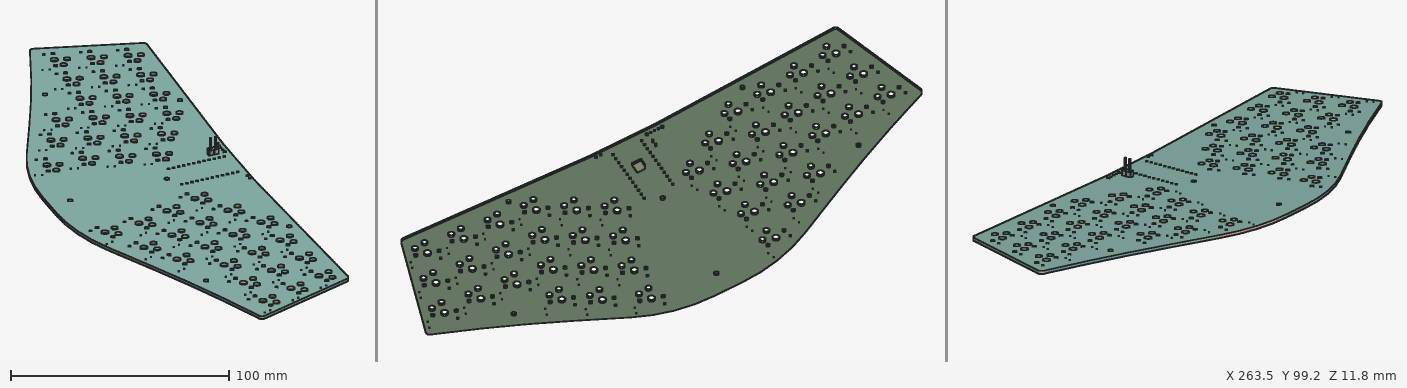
import cadquery as cq
import math



def toward(start, angle_deg, distance):
    """Point reached from start by moving a distance in a direction given in the XY plane."""
    angle = math.radians(angle_deg)
    return (start[0] + distance * math.cos(angle), start[1] + distance * math.sin(angle))


def row_of_points(first, count, step_x, step_y):
    """Evenly stepped points, starting at first."""
    return [(first[0] + i * step_x, first[1] + i * step_y) for i in range(count)]



overall_height = 11.78
board_thickness = 1.6
pin_rise = 8.54
pin_tail = 3.0

board_top = overall_height / 2 - pin_rise
board_bottom = board_top - board_thickness
led_height = overall_height - pin_rise - board_thickness


board_length = 263.46
board_width = 99.25
corner_radius = 2.0
front_edge = -board_width / 2
rear_corner_edge = board_width / 2

end_lean = 17.8
rear_slope = 2.5
rear_middle_edge = 45.4
outer_front_angle = 21.2
outer_front_straight = 2.4
flank_angle = 26.4
front_flat_half = 7.5
flank_inner_x = 46.4
flank_outer_x = 70.2

front_corner = (board_length / 2 - corner_radius, -0.1)
rear_corner_y = rear_corner_edge - corner_radius
rear_corner_x = front_corner[0] - (rear_corner_y - front_corner[1]) * math.tan(math.radians(end_lean))
rear_corner = (rear_corner_x, rear_corner_y)


def board_blank():
    """Plate with a sagging front edge, leaning ends and a shallow dip along the rear."""
    front_blend_radius = (flank_inner_x - front_flat_half) / math.sin(math.radians(flank_angle))
    flank_inner_y = front_edge + front_blend_radius * (1 - math.cos(math.radians(flank_angle)))
    flank_rise = (flank_outer_x - flank_inner_x) * math.tan(math.radians(flank_angle))

    front_corner_start = toward(front_corner, outer_front_angle - 90, corner_radius)
    front_corner_middle = toward(front_corner, (outer_front_angle - 90 + end_lean) / 2, corner_radius)
    front_corner_end = toward(front_corner, end_lean, corner_radius)
    sweep_end = toward(front_corner_start, outer_front_angle + 180, outer_front_straight)

    rear_normal = 90 + rear_slope
    rear_corner_start = toward(rear_corner, end_lean, corner_radius)
    rear_corner_middle = toward(rear_corner, (end_lean + rear_normal) / 2, corner_radius)
    rear_corner_end = toward(rear_corner, rear_normal, corner_radius)
    rear_drop = rear_corner_end[1] - rear_middle_edge
    rear_flat_half = rear_corner_end[0] - rear_drop / math.tan(math.radians(rear_slope))

    return (
        cq.Workplane("XY", origin=(0, 0, board_bottom))
        .moveTo(0, front_edge)
        .lineTo(front_flat_half, front_edge)
        .tangentArcPoint((flank_inner_x, flank_inner_y), relative=False)
        .lineTo(flank_outer_x, flank_inner_y + flank_rise)
        .tangentArcPoint(sweep_end, relative=False)
        .lineTo(*front_corner_start)
        .threePointArc(front_corner_middle, front_corner_end)
        .lineTo(*rear_corner_start)
        .threePointArc(rear_corner_middle, rear_corner_end)
        .lineTo(rear_flat_half, rear_middle_edge)
        .lineTo(0, rear_middle_edge)
        .mirrorY()
        .extrude(board_thickness)
    )



key_pitch_x = 18.0
key_pitch_y = 17.0
key_tilt = 17.28
first_key = (-108.68, 37.6)

key_columns = [(0.0, 3), (3.81, 3), (7.76, 3), (11.76, 4), (7.32, 4), (2.93, 3)]
thumb_key_shift = 4.1

diode_via_x = 8.6
switch_holes = [
    (3.43, [(0, 0)]),
    (3.0, [(0, 5.9), (5.0, 3.8)]),
    (1.7, [(-5.5, 0), (5.5, 0)]),
    (0.99, [(-5.22, -4.2)]),
    (0.4, [(diode_via_x, -3.1), (diode_via_x, -6.4)]),
]


def key_grid():
    """Key places of one half in its own tilted axes, with the first key at the origin."""
    places = []
    for column, (shift, key_count) in enumerate(key_columns):
        places += row_of_points((column * key_pitch_x, shift), key_count, 0, -key_pitch_y)
    last_column = len(key_columns) - 1
    last_shift, last_count = key_columns[last_column]
    places.append((last_column * key_pitch_x + thumb_key_shift, last_shift - last_count * key_pitch_y))
    return places


def turned(point, angle_deg):
    """Point turned about the origin."""
    angle = math.radians(angle_deg)
    x, y = point
    return (x * math.cos(angle) - y * math.sin(angle), x * math.sin(angle) + y * math.cos(angle))


def switch_hole_points(offsets):
    """Places of the given switch holes on all keys of both halves."""
    points = []
    for key in key_grid():
        along, across = turned(key, -key_tilt)
        key_x = first_key[0] + along
        key_y = first_key[1] + across
        for centre_x, tilt in ((key_x, -key_tilt), (-key_x, key_tilt)):
            for offset in offsets:
                dx, dy = turned(offset, tilt)
                points.append((centre_x + dx, key_y + dy))
    return points



pin_pitch = 2.54

controller_hole = 1.0
controller_pins = 12
controller_row_gap = 6 * pin_pitch
controller_centre_x = 0.13
controller_rear_y = 41.3

header_hole = 1.0
header_pins = 2
header_centre = (-12.0, 37.62)

battery_hole = 1.0
battery_first = (12.65, 44.04)

slide_centre = (-15.4, 43.1)
slide_pin_hole = 0.8
slide_pins = 3
slide_pin_pitch = 2.0
slide_post_hole = 1.4
slide_post_half_gap = 4.1

mount_hole = 2.2
rear_mount = (62.2, 43.2)
front_mount = (91.7, -11.4)
middle_mounts = [(0.4, 9.1), (0.4, -39.3)]


def controller_points():
    points = []
    for side in (-1, 1):
        first = (controller_centre_x + side * controller_row_gap / 2, controller_rear_y)
        points += row_of_points(first, controller_pins, 0, -pin_pitch)
    return points


def header_points():
    first = (header_centre[0], header_centre[1] - (header_pins - 1) * pin_pitch / 2)
    return row_of_points(first, header_pins, 0, pin_pitch)


def slide_pin_points():
    first = (slide_centre[0] - (slide_pins - 1) * slide_pin_pitch / 2, slide_centre[1])
    return row_of_points(first, slide_pins, slide_pin_pitch, 0)


def slide_post_points():
    return [(slide_centre[0] + side * slide_post_half_gap, slide_centre[1]) for side in (-1, 1)]


def mount_points():
    side_mounts = [(side * x, y) for x, y in (rear_mount, front_mount) for side in (-1, 1)]
    return side_mounts + middle_mounts



def drills(diameter, points):
    """Cylinders through the full board thickness."""
    return (
        cq.Workplane("XY", origin=(0, 0, board_bottom))
        .pushPoints(points)
        .circle(diameter / 2)
        .extrude(board_thickness)
    )


def make_board():
    """Circuit board with all of its holes."""
    hole_groups = [(diameter, switch_hole_points(offsets)) for diameter, offsets in switch_holes]
    hole_groups += [
        (controller_hole, controller_points()),
        (header_hole, header_points()),
        (battery_hole, row_of_points(battery_first, 2, pin_pitch, 0)),
        (slide_pin_hole, slide_pin_points()),
        (slide_post_hole, slide_post_points()),
        (mount_hole, mount_points()),
    ]
    board = board_blank()
    for diameter, points in hole_groups:
        board = board.cut(drills(diameter, points))
    return board


header_block = 2.54
header_block_chamfer = 0.25
pin_side = 0.64
pin_tip_chamfer = 0.16


def make_pin_header():
    """Two-pin header: square pins through chamfered plastic cells standing on the board."""
    header = (
        cq.Workplane("XY", origin=(0, 0, board_top - pin_tail))
        .pushPoints(header_points())
        .rect(pin_side, pin_side)
        .extrude(pin_tail + pin_rise)
        .faces("<Z or >Z")
        .chamfer(pin_tip_chamfer)
    )
    for x, y in header_points():
        cell = (
            cq.Workplane("XY", origin=(x, y, board_top))
            .rect(header_block, pin_pitch)
            .extrude(header_block)
            .edges("|Z")
            .chamfer(header_block_chamfer)
        )
        header = header.union(cell)
    return header


led_side = 5.0
led_centre = (0.3, 30.5)
led_base_height = 0.8
led_cap_inset = 0.05
led_corner_cut = 1.0


def led_layer(top, height, inset):
    """Square layer hanging down from top; the corner cuts of all layers lie in one plane."""
    side = led_side - 2 * inset
    return (
        cq.Workplane("XY", origin=(*led_centre, top))
        .rect(side, side)
        .extrude(-height)
        .edges("|Z")
        .edges("<X and <Y")
        .chamfer(led_corner_cut - 2 * inset)
    )


def make_led():
    """Square light fitted under the board: a base and a cap, with one corner cut off."""
    base = led_layer(board_bottom, led_base_height, 0)
    cap = led_layer(board_bottom - led_base_height, led_height - led_base_height, led_cap_inset)
    return base.union(cap)


board = make_board()
pin_header = make_pin_header()
led = make_led()

result = cq.Compound.makeCompound([board.val(), pin_header.val(), led.val()])